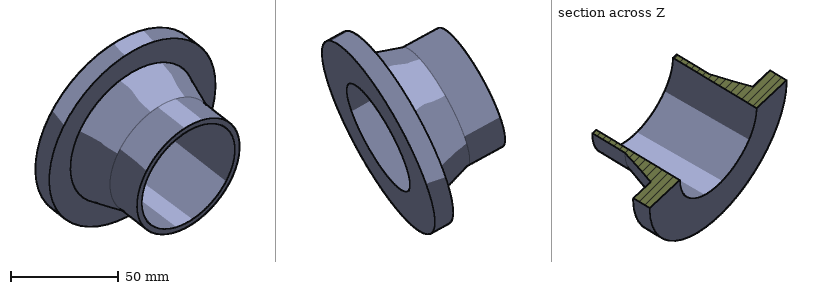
import cadquery as cq

flange_thickness = 10.0
pipe_length = 19.5
overall_length = 50.0

flange_diameter = 102.0
taper_base_diameter = 76.0
pipe_diameter = 63.0
bore_diameter = 57.0

pipe_start = overall_length - pipe_length
flange_radius = flange_diameter / 2
taper_base_radius = taper_base_diameter / 2
pipe_radius = pipe_diameter / 2
bore_radius = bore_diameter / 2


def collar_half_section():
    """Wall of the flange, tapered neck and pipe end, on one side of the X axis."""
    return (
        cq.Workplane("XZ")
        .moveTo(0, bore_radius)
        .lineTo(0, flange_radius)
        .lineTo(flange_thickness, flange_radius)
        .lineTo(flange_thickness, taper_base_radius)
        .lineTo(pipe_start, pipe_radius)
        .lineTo(overall_length, pipe_radius)
        .lineTo(overall_length, bore_radius)
        .close()
    )


axis_start = (0, 0, 0)
axis_end = (1, 0, 0)
result = collar_half_section().revolve(360, axis_start, axis_end)